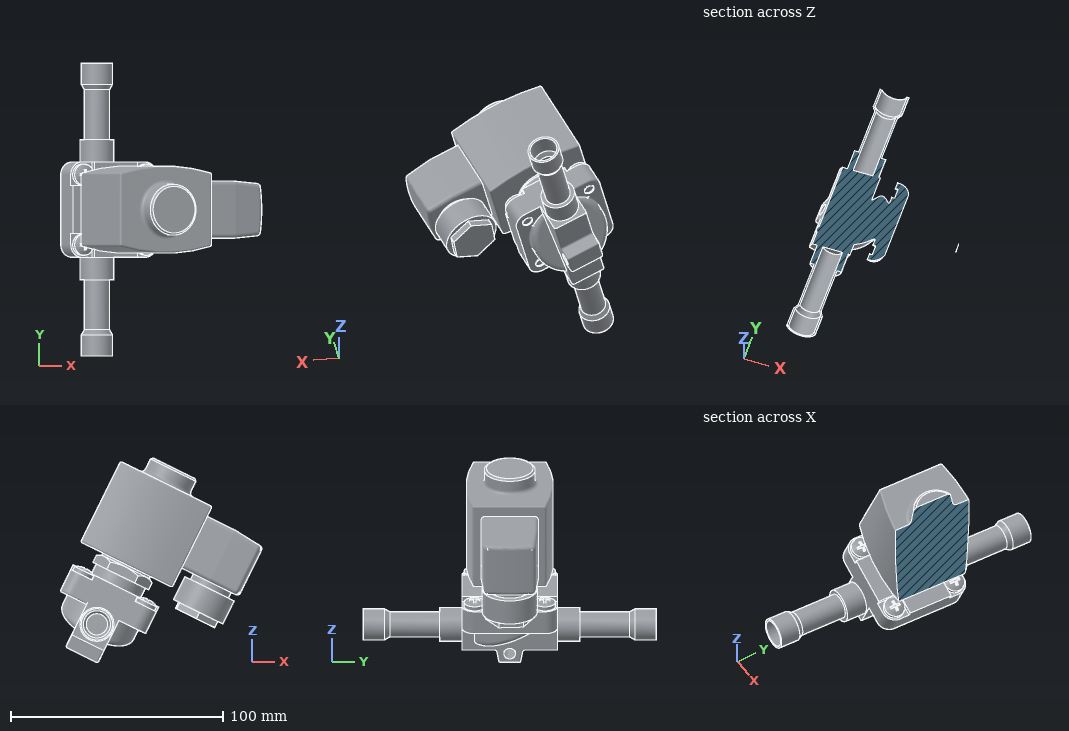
import cadquery as cq
import math

TILT = 26.3

BLOCK_WIDTH = 17.0
BLOCK_LENGTH = 45.0
BLOCK_BOTTOM = -9.7
TAB_BOTTOM = -16.2
TAB_ROOT_HALF = 6.3
TAB_TIP_HALF = 5.1
TAB_ROOT_RADIUS = 1.0
TAB_TIP_RADIUS = 0.7
TAB_HOLE_DIAMETER = 5.5
TAB_HOLE_HEIGHT = 5.0
BLOCK_ROUND = 1.0

FLANGE_SIDE = 45.0
FLANGE_BOTTOM = 6.2
FLANGE_TOP = 20.2
FLANGE_CORNER_RADIUS = 6.0
FLANGE_EDGE_ROUND = 1.0
SCREW_OFFSET = FLANGE_SIDE / 2 - FLANGE_CORNER_RADIUS
SEAT_SIDE = 11.2
SEAT_DEPTH = 2.5
SEAT_LEVEL = FLANGE_TOP - SEAT_DEPTH
SCREW_HOLE_DIAMETER = 5.0
SCREW_HOLE_DEPTH = 0.6

HEAD_DIAMETER = 10.0
HEAD_RIM = 2.1
HEAD_HEIGHT = 3.6
CROSS_LENGTH = 5.0
CROSS_WIDTH = 1.0
CROSS_DEPTH = 1.2

CHAMBER_RADIUS = 18.7
CHAMBER_TOP = FLANGE_BOTTOM + 6.0
CHAMBER_FLOOR = -1.2
CHAMBER_FLOOR_SLOPE = 21.0
CHAMBER_ROUND = 2.5
CHAMBER_ROOT_RADIUS = 0.7
CHAMBER_ROOT_END = 12.0

PIPE_END = 69.0
SLEEVE_DIAMETER = 16.0
SLEEVE_END = 33.0
TUBE_DIAMETER = 12.0
TUBE_BORE = 10.0
CUP_DIAMETER = 14.8
CUP_BORE = 12.8
CUP_LENGTH = 10.0
CUP_TAPER = 2.5
BORE_FLOOR = BLOCK_LENGTH / 2

STEM_DIAMETER = 26.0
NUT_BOTTOM = 25.3
NUT_TOP = 30.3
NUT_FLATS = 25.4
NUT_CROWN_DIAMETER = 25.0
NUT_CROWN_SLOPE = 30.0
NECK_DIAMETER = 25.0

COIL_HALF_WIDTH = 24.1
COIL_BOTTOM = 31.3
COIL_TOP = 73.8
COIL_EDGE_HALF = 17.2
COIL_BULGE_HALF = 20.6
COIL_ROUND = 1.0
CAP_DIAMETER = 24.0
CAP_TOP = 82.0
CAP_CHAMFER = 1.0
CAP_ROOT_RADIUS = 2.0

PLUG_START = 20.0
PLUG_BEND = 39.0
PLUG_END = 54.1
PLUG_BOTTOM = 41.4
PLUG_TOP = 68.6
PLUG_HALF_DEPTH = 13.5
PLUG_TOP_TAPER = 1.5
PLUG_SIDE_TAPER = 1.3
PLUG_ROUND = 2.0
PLUG_END_RADIUS = 75.0
PLUG_END_ROUND = 1.9
GLAND_CENTER = 40.1
GLAND_NECK_DIAMETER = 20.0
GLAND_DIAMETER = 26.0
GLAND_TOP = 38.5
GLAND_BOTTOM = 26.4
GLAND_NUT_BOTTOM = 23.1
GLAND_NUT_FLATS = 20.0
GLAND_NUT_TURN = 33.5

CORNERS = ((-1, -1), (-1, 1), (1, -1), (1, 1))


def disc(diameter, bottom, top, x=0.0, y=0.0):
    """Upright cylinder between two heights."""
    return cq.Workplane("XY", origin=(x, y, bottom)).circle(diameter / 2).extrude(top - bottom)


def hexagon(flats, bottom, top):
    """Upright hexagonal prism with a corner on the X axis."""
    across_corners = flats / math.cos(math.radians(30))
    return cq.Workplane("XY", origin=(0, 0, bottom)).polygon(6, across_corners).extrude(top - bottom)


def flared_root(radius, flare):
    """Disc on the XY plane whose rim sweeps up in a concave arc from the plane to the given radius."""
    arc_middle = flare * (1 - math.sqrt(0.5))
    return (
        cq.Workplane("XZ")
        .lineTo(radius + flare, 0)
        .threePointArc((radius + arc_middle, arc_middle), (radius, flare))
        .lineTo(0, flare)
        .close()
        .revolve(360, (0, 0, 0), (0, 1, 0))
    )


def block():
    half = BLOCK_LENGTH / 2
    body = (
        cq.Workplane("YZ", origin=(-BLOCK_WIDTH / 2, 0, 0))
        .moveTo(-half, SEAT_LEVEL)
        .lineTo(-half, BLOCK_BOTTOM)
        .lineTo(-TAB_ROOT_HALF, BLOCK_BOTTOM)
        .lineTo(-TAB_TIP_HALF, TAB_BOTTOM)
        .lineTo(TAB_TIP_HALF, TAB_BOTTOM)
        .lineTo(TAB_ROOT_HALF, BLOCK_BOTTOM)
        .lineTo(half, BLOCK_BOTTOM)
        .lineTo(half, SEAT_LEVEL)
        .close()
        .extrude(BLOCK_WIDTH)
    )
    tab_roots = cq.selectors.BoxSelector(
        (-BLOCK_WIDTH, -TAB_ROOT_HALF - 1, BLOCK_BOTTOM - 1),
        (BLOCK_WIDTH, TAB_ROOT_HALF + 1, BLOCK_BOTTOM + 1),
    )
    body = body.edges("|X").edges(tab_roots).fillet(TAB_ROOT_RADIUS)
    body = body.faces("<Z").edges("|X").fillet(TAB_TIP_RADIUS)
    lower_edges = cq.selectors.BoxSelector(
        (-BLOCK_WIDTH, -half + 1, TAB_BOTTOM - 1),
        (BLOCK_WIDTH, half - 1, BLOCK_BOTTOM + 1),
    )
    return body.faces("<X or >X").edges(lower_edges).fillet(BLOCK_ROUND)


def tab_hole():
    return (
        cq.Workplane("YZ", origin=(-BLOCK_WIDTH, 0, TAB_BOTTOM + TAB_HOLE_HEIGHT))
        .circle(TAB_HOLE_DIAMETER / 2)
        .extrude(2 * BLOCK_WIDTH)
    )


def flange():
    plate = (
        cq.Workplane("XY", origin=(0, 0, FLANGE_BOTTOM))
        .rect(FLANGE_SIDE, FLANGE_SIDE)
        .extrude(FLANGE_TOP - FLANGE_BOTTOM)
        .edges("|Z")
        .fillet(FLANGE_CORNER_RADIUS)
    )
    strip_side = 2 * FLANGE_SIDE
    strip = cq.Workplane("XY").box(strip_side, strip_side, strip_side)
    strip = strip.translate((-(strip_side + BLOCK_WIDTH) / 2, 0, 0))
    rounded = plate.intersect(strip).faces("<Z").edges("not(>X)").fillet(FLANGE_EDGE_ROUND)
    plate = plate.cut(strip).union(rounded)

    seat_center = (FLANGE_SIDE - SEAT_SIDE) / 2
    for sx, sy in CORNERS:
        seat = cq.Workplane("XY", origin=(sx * seat_center, sy * seat_center, SEAT_LEVEL))
        plate = plate.cut(seat.rect(SEAT_SIDE, SEAT_SIDE).extrude(SEAT_DEPTH))
        x = sx * SCREW_OFFSET
        y = sy * SCREW_OFFSET
        plate = plate.union(screw().translate((x, y, SEAT_LEVEL)))
        plate = plate.cut(disc(SCREW_HOLE_DIAMETER, FLANGE_BOTTOM, FLANGE_BOTTOM + SCREW_HOLE_DEPTH, x, y))
    return plate


def screw():
    head = (
        cq.Workplane("XZ")
        .lineTo(HEAD_DIAMETER / 2, 0)
        .lineTo(HEAD_DIAMETER / 2, HEAD_RIM)
        .spline([(0, HEAD_HEIGHT)], tangents=[(-1, 0.8), (-1, 0)], includeCurrent=True)
        .close()
        .revolve(360, (0, 0, 0), (0, 1, 0))
    )
    for length, width in ((CROSS_LENGTH, CROSS_WIDTH), (CROSS_WIDTH, CROSS_LENGTH)):
        slot = cq.Workplane("XY", origin=(0, 0, HEAD_HEIGHT - CROSS_DEPTH)).rect(length, width)
        head = head.cut(slot.extrude(2 * CROSS_DEPTH))
    return head


def chamber():
    drum = disc(2 * CHAMBER_RADIUS, 4 * BLOCK_BOTTOM, CHAMBER_TOP)
    size = 8 * CHAMBER_RADIUS
    below_floor = (
        cq.Workplane("XY")
        .box(size, size, size)
        .translate((0, 0, -size / 2))
        .rotate((0, 0, 0), (1, 0, 0), CHAMBER_FLOOR_SLOPE)
        .translate((0, 0, CHAMBER_FLOOR))
    )
    drum = drum.cut(below_floor).faces("<Z").edges().fillet(CHAMBER_ROUND)
    flare = flared_root(CHAMBER_RADIUS, CHAMBER_ROOT_RADIUS)
    flare = flare.mirror("XY").translate((0, 0, FLANGE_BOTTOM))
    flare = flare.cut(cq.Workplane("XY").box(size, size, size).translate((0, CHAMBER_ROOT_END + size / 2, 0)))
    return drum.union(flare)


def pipe():
    """Pipe on the +Y side, with its sleeve and widened open end."""
    cup_start = PIPE_END - CUP_LENGTH
    taper_start = cup_start - CUP_TAPER
    return (
        cq.Workplane("XY")
        .moveTo(0, 0)
        .lineTo(SLEEVE_DIAMETER / 2, 0)
        .lineTo(SLEEVE_DIAMETER / 2, SLEEVE_END)
        .lineTo(TUBE_DIAMETER / 2, SLEEVE_END)
        .lineTo(TUBE_DIAMETER / 2, taper_start)
        .lineTo(CUP_DIAMETER / 2, cup_start)
        .lineTo(CUP_DIAMETER / 2, PIPE_END)
        .lineTo(CUP_BORE / 2, PIPE_END)
        .lineTo(CUP_BORE / 2, cup_start)
        .lineTo(TUBE_BORE / 2, taper_start)
        .lineTo(TUBE_BORE / 2, BORE_FLOOR)
        .lineTo(0, BORE_FLOOR)
        .close()
        .revolve(360, (0, 0, 0), (0, 1, 0))
    )


def stem():
    crown_radius = NUT_CROWN_DIAMETER / 2
    outer_radius = NUT_FLATS
    nut_height = NUT_TOP - NUT_BOTTOM
    crown_drop = (outer_radius - crown_radius) * math.tan(math.radians(NUT_CROWN_SLOPE))
    crown = (
        cq.Workplane("XZ", origin=(0, 0, NUT_BOTTOM))
        .moveTo(0, nut_height)
        .lineTo(crown_radius, nut_height)
        .lineTo(outer_radius, nut_height - crown_drop)
        .lineTo(0, nut_height - crown_drop)
        .close()
        .revolve(360, (0, 0, 0), (0, 1, 0))
    )
    nut = hexagon(NUT_FLATS, NUT_BOTTOM, NUT_TOP).intersect(crown)
    collar = disc(STEM_DIAMETER, SEAT_LEVEL, NUT_BOTTOM)
    neck = disc(NECK_DIAMETER, NUT_BOTTOM, COIL_BOTTOM + COIL_ROUND)
    return collar.union(nut).union(neck)


def coil():
    housing = (
        cq.Workplane("XY", origin=(0, 0, COIL_BOTTOM))
        .moveTo(-COIL_HALF_WIDTH, -COIL_EDGE_HALF)
        .threePointArc((0, -COIL_BULGE_HALF), (COIL_HALF_WIDTH, -COIL_EDGE_HALF))
        .lineTo(COIL_HALF_WIDTH, COIL_EDGE_HALF)
        .threePointArc((0, COIL_BULGE_HALF), (-COIL_HALF_WIDTH, COIL_EDGE_HALF))
        .close()
        .extrude(COIL_TOP - COIL_BOTTOM)
        .edges()
        .fillet(COIL_ROUND)
    )
    cap = disc(CAP_DIAMETER, COIL_TOP, CAP_TOP).faces(">Z").edges().chamfer(CAP_CHAMFER)
    cap_root = flared_root(CAP_DIAMETER / 2, CAP_ROOT_RADIUS).translate((0, 0, COIL_TOP))
    return housing.union(cap).union(cap_root)


def plug_section(half_depth, top):
    """Rounded rectangle standing on the lower side of the plug, centred on the YZ origin."""
    return cq.Sketch().rect(2 * half_depth, top - PLUG_BOTTOM).vertices().fillet(PLUG_ROUND)


def plug():
    """Plug box with a straight root, a tapered outer half and a slightly bulged end."""
    root = plug_section(PLUG_HALF_DEPTH, PLUG_TOP)
    tip = plug_section(PLUG_HALF_DEPTH - PLUG_SIDE_TAPER, PLUG_TOP - PLUG_TOP_TAPER)
    middle = (PLUG_BOTTOM + PLUG_TOP) / 2
    tip_offset = cq.Location(cq.Vector(0, -PLUG_TOP_TAPER / 2, PLUG_END - PLUG_BEND))
    straight = (
        cq.Workplane("YZ", origin=(PLUG_START, 0, middle))
        .placeSketch(root)
        .extrude(PLUG_BEND - PLUG_START)
    )
    tapered = cq.Workplane("YZ", origin=(PLUG_BEND, 0, middle)).placeSketch(root, tip.moved(tip_offset)).loft()
    end_limit = disc(2 * PLUG_END_RADIUS, PLUG_BOTTOM - 1, PLUG_TOP + 1, x=PLUG_END - PLUG_END_RADIUS)
    tapered = tapered.intersect(end_limit).faces(">X").edges().fillet(PLUG_END_ROUND)
    return straight.union(tapered)


def gland():
    neck = disc(GLAND_NECK_DIAMETER, GLAND_TOP, PLUG_BOTTOM + PLUG_ROUND, x=GLAND_CENTER)
    body = disc(GLAND_DIAMETER, GLAND_BOTTOM, GLAND_TOP, x=GLAND_CENTER)
    nut = (
        hexagon(GLAND_NUT_FLATS, GLAND_NUT_BOTTOM, GLAND_BOTTOM)
        .rotate((0, 0, 0), (0, 0, 1), GLAND_NUT_TURN)
        .translate((GLAND_CENTER, 0, 0))
    )
    return body.union(neck).union(nut)


def valve():
    near_pipe = pipe()
    far_pipe = near_pipe.mirror("XZ")
    part = flange().union(block()).union(chamber()).cut(tab_hole())
    for piece in (near_pipe, far_pipe, stem(), coil(), plug(), gland()):
        part = part.union(piece)
    return part


result = valve().rotate((0, 0, 0), (0, 1, 0), TILT)